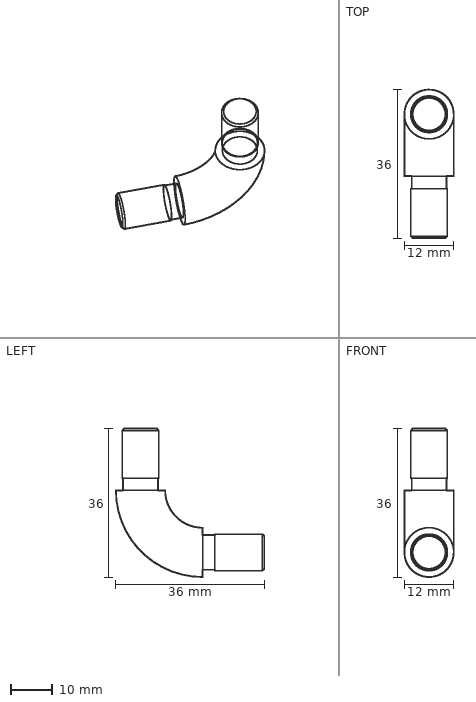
import cadquery as cq

overall_length = 36.0
tube_diameter = 12.0
bend_radius = 15.0
plug_diameter = 8.9
neck_diameter = 8.5
neck_length = 3.0
plug_chamfer = 0.5

spigot_length = overall_length - bend_radius - tube_diameter / 2
plug_length = spigot_length - neck_length


def make_elbow():
    """Quarter-torus bend about the X axis, from the +Y end round to the -Z end."""
    return (
        cq.Workplane("XY")
        .center(0, bend_radius)
        .circle(tube_diameter / 2)
        .revolve(90, (0, -bend_radius, 0), (-1, -bend_radius, 0))
    )


def make_spigot(end_plane):
    """Narrow neck followed by a chamfered plug, along the normal of end_plane."""
    neck = cq.Workplane(end_plane).circle(neck_diameter / 2).extrude(neck_length)
    plug = (
        cq.Workplane(end_plane)
        .workplane(offset=neck_length)
        .circle(plug_diameter / 2)
        .extrude(plug_length)
        .faces(cq.selectors.DirectionMinMaxSelector(end_plane.zDir, True))
        .chamfer(plug_chamfer)
    )
    return neck.union(plug)


upper_end = cq.Plane(origin=(0, bend_radius, 0), xDir=(1, 0, 0), normal=(0, 0, 1))
front_end = cq.Plane(origin=(0, 0, -bend_radius), xDir=(1, 0, 0), normal=(0, -1, 0))

result = make_elbow().union(make_spigot(upper_end)).union(make_spigot(front_end))